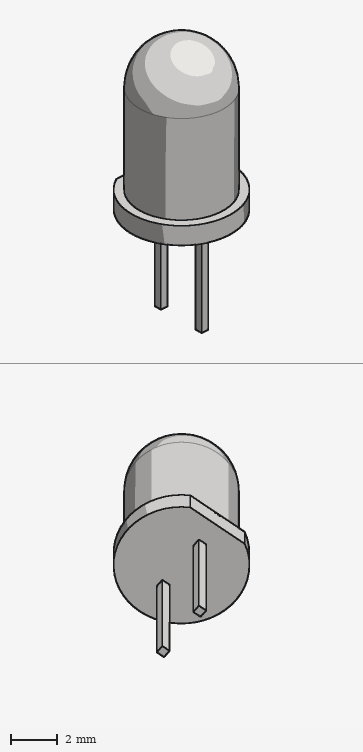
import cadquery as cq

total_height = 14.1
lead_length = 5.5
lead_width = 0.4
lead_pitch = 2.54
flange_diameter = 5.8
flange_height = 1.0
flat_distance = 2.5
lens_diameter = 4.9

flange_radius = flange_diameter / 2
lens_radius = lens_diameter / 2
lens_top = total_height - lead_length
dome_base = lens_top - lens_radius


def make_flange():
    """Round flange cut flat on its -X side."""
    disc = cq.Workplane("XY").circle(flange_radius).extrude(flange_height)
    kept_width = flat_distance + flange_radius
    kept_block = (
        cq.Workplane("XY")
        .center(kept_width / 2 - flat_distance, 0)
        .rect(kept_width, flange_diameter)
        .extrude(flange_height)
    )
    return disc.intersect(kept_block)


def make_lens():
    """Cylinder with a hemispherical top, revolved about the Z axis."""
    arc_offset = lens_radius * 0.5 ** 0.5
    return (
        cq.Workplane("XZ")
        .lineTo(lens_radius, 0)
        .lineTo(lens_radius, dome_base)
        .threePointArc((arc_offset, dome_base + arc_offset), (0, lens_top))
        .close()
        .revolve(360, (0, 0, 0), (0, 1, 0))
    )


def make_leads():
    """Two square leads below the flange, spaced along X."""
    return (
        cq.Workplane("XY")
        .rarray(lead_pitch, 0.14, 2, 1)
        .rect(lead_width, lead_width)
        .extrude(-lead_length)
    )


result = make_flange().union(make_lens()).union(make_leads())